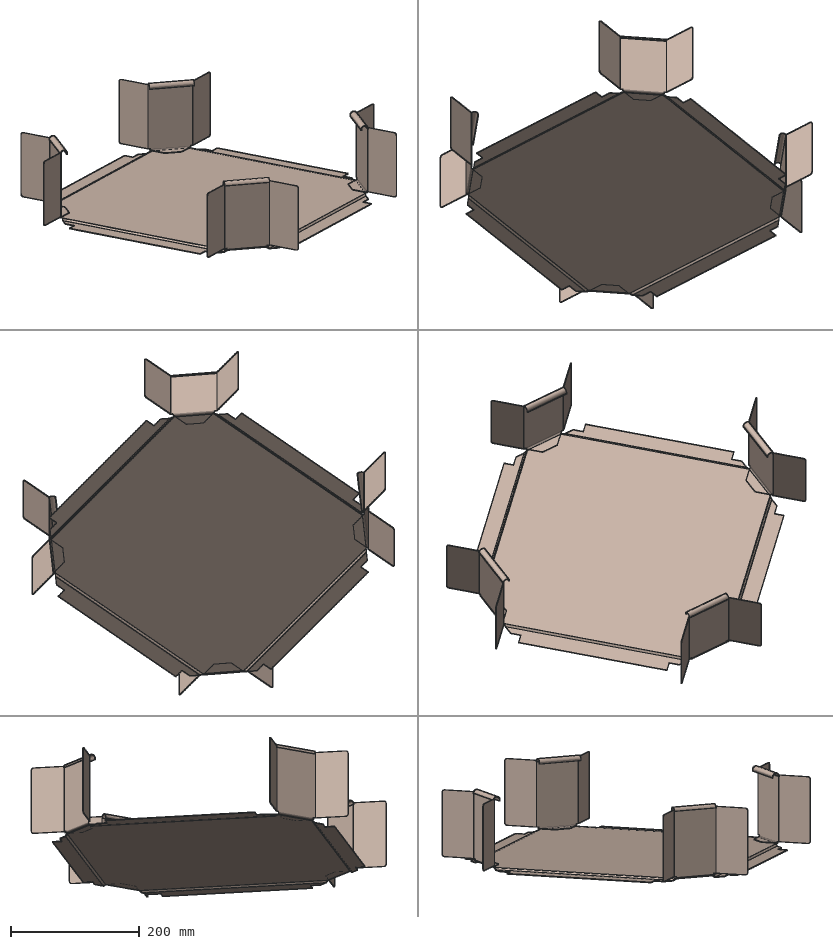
import cadquery as cq
import math

overall_size = 503.0
overall_height = 116.5
sheet = 1.25

panel_half = 195.0
step_height = 3.0
step_run = 3.0
shoulder_half = 208.5
shoulder_half_length = 135.0
tongue_half = 224.0
tongue_half_length = 118.5

flap_line = 149.0
wall_corner = 199.5
flap_bottom = 7.5
flap_top = 113.0
flap_corner_radius = 4.0

tab_side = 151.0
tab_reach = 227.0
fold_radius = 1.5

hem_radius = 6.0
hem_ledge = 0.75
hem_lip = 2.0

overall_half = overall_size / 2
panel_top = step_height + sheet
step_foot = panel_half + step_run
cut_corner_sum = shoulder_half + shoulder_half_length
wall_face = (wall_corner + flap_line) / math.sqrt(2)
wall_inner_face = wall_face - sheet
wall_length = (wall_corner - flap_line) * math.sqrt(2)


def make_panel():
    """Raised octagonal panel."""
    corner_leg = 2 * panel_half - cut_corner_sum
    panel = cq.Workplane("XY").box(2 * panel_half, 2 * panel_half, sheet, centered=(True, True, False))
    return panel.edges("|Z").chamfer(corner_leg).translate((0, 0, step_height))


def make_flange():
    """Sloping step and flange along the +Y side of the panel."""
    section = [
        (panel_half - step_run, step_height),
        (panel_half - step_run, panel_top),
        (panel_half, panel_top),
        (step_foot, sheet),
        (tongue_half, sheet),
        (tongue_half, 0),
        (step_foot - sheet, 0),
        (panel_half - sheet, step_height),
    ]
    strip = cq.Workplane("YZ").polyline(section).close().extrude(overall_half, both=True)
    half_outline = [
        (cut_corner_sum, 0),
        (shoulder_half_length, shoulder_half),
        (tongue_half_length, shoulder_half),
        (tongue_half_length, tongue_half),
    ]
    mirrored_half = [(-x, y) for x, y in reversed(half_outline)]
    outline = cq.Workplane("XY").polyline(half_outline + mirrored_half).close()
    return strip.intersect(outline.extrude(panel_top))


def make_floor():
    floor = make_panel()
    flange = make_flange()
    for side in range(4):
        floor = floor.union(flange.rotate((0, 0, 0), (0, 0, 1), 90 * side))
    return floor


def make_flap():
    """Flap of the +X +Y guard that runs along X, with its share of the bend."""
    inner_line = flap_line - sheet
    inner_corner = wall_corner - sheet * math.tan(math.radians(45 / 2))
    wall_end_offset = sheet / math.sqrt(2)
    plan = [
        (overall_half, flap_line),
        (wall_corner, flap_line),
        (wall_corner - wall_end_offset, flap_line - wall_end_offset),
        (inner_corner, inner_line),
        (overall_half, inner_line),
    ]
    flap = cq.Workplane("XY").polyline(plan).close().extrude(flap_top - flap_bottom)
    flap = flap.faces(">X").edges("|Y").fillet(flap_corner_radius)
    return flap.translate((0, 0, flap_bottom))


def along_wall(section):
    """Extrude a section, drawn across the wall, over the length of the wall."""
    return section.extrude(wall_length / 2, both=True).rotate((0, 0, 0), (0, 0, 1), 45)


def make_foot():
    """Tab lying on the panel, with the fold that joins it to the wall."""
    fold_start = wall_face - fold_radius
    fold_top = panel_top + fold_radius
    section = (
        cq.Workplane("XZ")
        .moveTo(tab_reach, panel_top)
        .lineTo(fold_start, panel_top)
        .radiusArc((wall_face, fold_top), -fold_radius)
        .lineTo(wall_face, flap_bottom)
        .lineTo(wall_inner_face, flap_bottom)
        .lineTo(wall_inner_face, fold_top)
        .radiusArc((fold_start, panel_top + sheet), fold_radius - sheet)
        .lineTo(tab_reach, panel_top + sheet)
        .close()
    )
    tab_limits = cq.Workplane("XY").box(overall_half, overall_half, flap_bottom, centered=False)
    return along_wall(section).intersect(tab_limits.translate((tab_side, tab_side, 0)))


def make_wall():
    """Wall whose top is rolled inward in a half circle ending in a short straight lip."""
    spring = overall_height - hem_radius
    hem_face = wall_face + hem_ledge
    crown_x = hem_face - hem_radius
    lip_face = hem_face - 2 * hem_radius
    lip_inner_face = lip_face + sheet
    lip_bottom = spring - hem_lip
    inner_spring_x = hem_face - sheet
    section = (
        cq.Workplane("XZ")
        .moveTo(wall_inner_face, flap_bottom)
        .lineTo(wall_face, flap_bottom)
        .lineTo(wall_face, spring)
        .lineTo(hem_face, spring)
        .threePointArc((crown_x, overall_height), (lip_face, spring))
        .lineTo(lip_face, lip_bottom)
        .lineTo(lip_inner_face, lip_bottom)
        .lineTo(lip_inner_face, spring)
        .threePointArc((crown_x, overall_height - sheet), (inner_spring_x, spring))
        .lineTo(wall_inner_face, spring)
        .close()
    )
    return along_wall(section)


def make_guard(quarter):
    """Corner guard turned by quarter turns from the +X +Y corner."""
    flap = make_flap()
    other_flap = flap.mirror("XZ").rotate((0, 0, 0), (0, 0, 1), 90)
    guard = make_wall().union(make_foot()).union(flap).union(other_flap).clean()
    return guard.rotate((0, 0, 0), (0, 0, 1), 90 * quarter)


fixed_quarter = 2
tray = make_floor().union(make_guard(fixed_quarter))
guards = [make_guard(quarter).val() for quarter in range(4) if quarter != fixed_quarter]

result = cq.Compound.makeCompound([tray.val(), *guards])